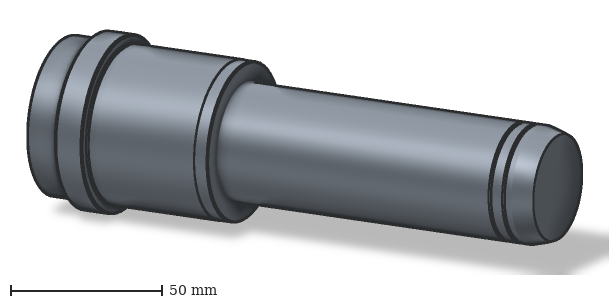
import cadquery as cq

TOTAL_LENGTH = 183.0
SLEEVE_LENGTH = 67.0
SLEEVE_LEAD = 5.0
COLLAR_START = 12.0
COLLAR_WIDTH = 10.0
NOSE_LENGTH = 7.0

SLEEVE_DIAMETER = 54.0
SLEEVE_LEAD_DIAMETER = 53.8
COLLAR_DIAMETER = 60.0
PIN_DIAMETER = 40.0
NOSE_DIAMETER = 35.8

NOSE_PROFILE_RADIUS = 40.0

COLLAR_CHAMFER = 0.5
SLEEVE_END_CHAMFER = 0.4
PIN_ROOT_FILLET = 0.4
HEAD_CHAMFER = 0.5

UNDERCUT_DEPTH = 0.5
REAR_UNDERCUT_WIDTH = 1.5
FRONT_UNDERCUT_WIDTH = 1.0

GROOVE_WIDTH = 1.0
GROOVE_DEPTH = 0.5
GROOVE_WALL_RUN = 0.4
GROOVE_STARTS = (167.5, 172.5)


def cylinder(start, length, diameter):
    """Solid cylinder about the X axis."""
    return cq.Workplane("YZ", origin=(start, 0, 0)).circle(diameter / 2).extrude(length)


def ramp_groove(body, start, width, diameter, depth):
    """Cut a groove that ramps down along +X and rises again steeply."""
    radius = diameter / 2
    ramp = (
        cq.Workplane("XZ")
        .moveTo(start, radius)
        .lineTo(start + width, radius)
        .lineTo(start + width - GROOVE_WALL_RUN, radius - depth)
        .close()
        .revolve(360, (0, 0, 0), (1, 0, 0))
    )
    return body.cut(ramp)


def make_sleeve():
    """Chamfered sleeve with a slightly reduced lead and undercuts on both sides of the collar."""
    lead_start = SLEEVE_LENGTH - SLEEVE_LEAD
    lead = cylinder(lead_start, SLEEVE_LEAD, SLEEVE_LEAD_DIAMETER)
    lead = lead.faces(">X").chamfer(SLEEVE_END_CHAMFER)
    head = cylinder(0, lead_start, SLEEVE_DIAMETER).faces("<X").chamfer(HEAD_CHAMFER)
    sleeve = head.union(lead)
    rear_start = COLLAR_START - REAR_UNDERCUT_WIDTH
    front_start = COLLAR_START + COLLAR_WIDTH
    sleeve = ramp_groove(sleeve, rear_start, REAR_UNDERCUT_WIDTH, SLEEVE_DIAMETER, UNDERCUT_DEPTH)
    return ramp_groove(sleeve, front_start, FRONT_UNDERCUT_WIDTH, SLEEVE_DIAMETER, UNDERCUT_DEPTH)


def make_collar():
    """Locating collar with both rims chamfered."""
    collar = cylinder(COLLAR_START, COLLAR_WIDTH, COLLAR_DIAMETER)
    return collar.edges().chamfer(COLLAR_CHAMFER)


def make_pin():
    """Pin whose tip narrows along a shallow arc."""
    radius = PIN_DIAMETER / 2
    nose_start = TOTAL_LENGTH - NOSE_LENGTH
    pin = (
        cq.Workplane("XZ")
        .moveTo(0, 0)
        .lineTo(0, radius)
        .lineTo(nose_start, radius)
        .radiusArc((TOTAL_LENGTH, NOSE_DIAMETER / 2), NOSE_PROFILE_RADIUS)
        .lineTo(TOTAL_LENGTH, 0)
        .close()
        .revolve(360, (0, 0, 0), (1, 0, 0))
    )
    for start in GROOVE_STARTS:
        pin = ramp_groove(pin, start, GROOVE_WIDTH, PIN_DIAMETER, GROOVE_DEPTH)
    return pin


def round_pin_root(body):
    """Fillet the inside corner where the pin leaves the sleeve."""
    corner = cq.selectors.BoxSelector(
        (SLEEVE_LENGTH - PIN_ROOT_FILLET / 2, -PIN_DIAMETER, -PIN_DIAMETER),
        (SLEEVE_LENGTH + PIN_ROOT_FILLET / 2, PIN_DIAMETER, PIN_DIAMETER),
        boundingbox=True,
    )
    pin_outline = cq.selectors.RadiusNthSelector(0)
    return body.edges(corner).edges("%CIRCLE").edges(pin_outline).fillet(PIN_ROOT_FILLET)


result = round_pin_root(make_sleeve().union(make_collar()).union(make_pin()))